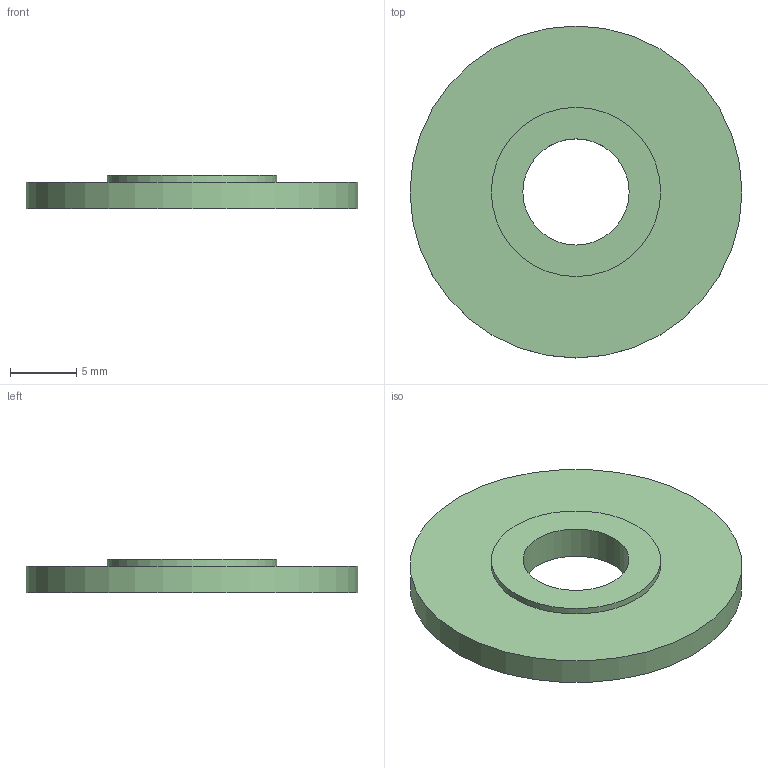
import cadquery as cq

disc_diameter = 25.0
disc_thickness = 2.0
collar_diameter = 12.75
total_height = 2.5
bore_diameter = 8.0

collar_height = total_height - disc_thickness


def make_disc():
    """Flat round disc resting on the XY plane, centred on the Z axis."""
    return cq.Workplane("XY").circle(disc_diameter / 2).extrude(disc_thickness)


def add_collar(body):
    """Raise a low round collar from the top face of the disc."""
    return body.faces(">Z").workplane().circle(collar_diameter / 2).extrude(collar_height)


def cut_bore(body):
    """Cut the central bore through the collar and the disc."""
    return body.faces(">Z").workplane().hole(bore_diameter)


result = cut_bore(add_collar(make_disc()))